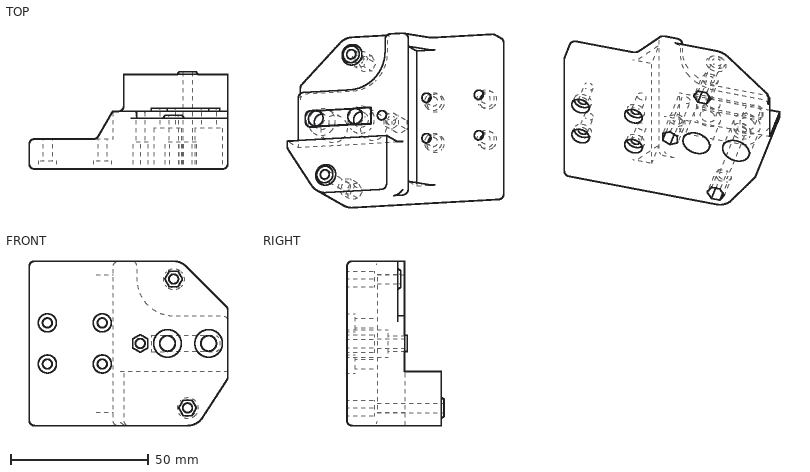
import cadquery as cq
import math

LENGTH = 72.5
DEPTH = 35.5
HEIGHT = 60.0
MID_Z = HEIGHT / 2
EDGE_RADIUS = 2.0

PLATE_BACK = 11.0
BODY_BACK = 21.1
BOSS_HEIGHT = 1.0
BLOCK_BACK = DEPTH - BOSS_HEIGHT
RECESS_FLOOR = 18.6

SLOPE_ANGLE = 60.0
SLOPE_TOP_X = 30.45
SLOPE_FOOT_X = SLOPE_TOP_X - (BODY_BACK - PLATE_BACK) / math.tan(math.radians(SLOPE_ANGLE))

CORNER_RADIUS = 6.5
TOP_SCREW = (52.7, HEIGHT - CORNER_RADIUS)
BOTTOM_SCREW = (57.8, CORNER_RADIUS)
TOP_CUT_ANGLE = 45.0
BOTTOM_CUT_ANGLE = 57.0

OPENING_HEIGHT = 50.0

BLOCK_LEFT = 34.5
BLOCK_HEIGHT = 19.9

RECESS_RADIUS = 13.4

SHAFT_X = (50.45, 65.5)
SHAFT_HOLE = 5.6
SHAFT_BORE = 10.1
SHAFT_BORE_DEPTH = 15.0
PAD_LEFT = 44.5
PAD_RIGHT = 69.45
PAD_WIDTH = 6.0
PAD_WAIST = 5.8

SCREW_HOLE = 3.4
PLATE_SCREW_X = (6.7, 26.7)
PLATE_SCREW_SPACING_Z = 15.0
SCREW_HEAD = 6.6
SCREW_HEAD_DEPTH = 3.0
NUT_FLATS = 5.6
NUT_DEPTH = 10.0
MIDDLE_SCREW = (40.5, MID_Z)
BOSS_BASE = 7.6
BOSS_TOP = 6.15


def front_plane(y):
    """Sketch plane with local x = X and local y = Z, extruding toward +Y."""
    return cq.Workplane(cq.Plane(origin=(0, y, 0), xDir=(1, 0, 0), normal=(0, -1, 0)))


def polar_point(center, radius, angle):
    """Point on a circle, with the angle in radians from +X."""
    return (center[0] + radius * math.cos(angle), center[1] + radius * math.sin(angle))


def prism(sketch, depth):
    """Extrude a front_plane sketch toward +Y."""
    return sketch.extrude(-depth)


def cylinder(center, diameter, start, end):
    """Cylinder along Y around an (X, Z) center."""
    return prism(front_plane(start).center(*center).circle(diameter / 2), end - start)


def near(x, y, z):
    """Selector for the edge nearest to a point."""
    return cq.selectors.NearestToPointSelector((x, y, z))


def outline(start, end):
    """Rounded front outline with the two cut right-hand corners."""
    top_half = math.radians(TOP_CUT_ANGLE / 2)
    bottom_half = math.radians(BOTTOM_CUT_ANGLE / 2)
    top_x = TOP_SCREW[0] + CORNER_RADIUS * math.tan(top_half)
    bottom_x = BOTTOM_SCREW[0] + CORNER_RADIUS * math.tan(bottom_half)
    right_top_z = HEIGHT - (LENGTH - top_x) * math.tan(2 * top_half)
    right_bottom_z = (LENGTH - bottom_x) * math.tan(2 * bottom_half)
    points = [
        (0, 0),
        (bottom_x, 0),
        (LENGTH, right_bottom_z),
        (LENGTH, right_top_z),
        (top_x, HEIGHT),
        (0, HEIGHT),
    ]
    solid = prism(front_plane(start).polyline(points).close(), end - start)
    solid = solid.edges("|Y").edges("<X or >X").fillet(EDGE_RADIUS)
    for corner in [(bottom_x, start, 0), (top_x, start, HEIGHT)]:
        solid = solid.edges("|Y").edges(near(*corner)).fillet(CORNER_RADIUS)
    return solid


def make_body():
    """Thin plate, slope and thick body with rounded edges."""
    side = (
        cq.Workplane("XY")
        .polyline([
            (0, 0),
            (LENGTH, 0),
            (LENGTH, BODY_BACK),
            (SLOPE_TOP_X, BODY_BACK),
            (SLOPE_FOOT_X, PLATE_BACK),
            (0, PLATE_BACK),
        ])
        .close()
        .extrude(HEIGHT)
    )
    foot = near(SLOPE_FOOT_X, PLATE_BACK, MID_Z)
    side = side.edges(foot).fillet(EDGE_RADIUS)
    body = side.intersect(outline(0, BODY_BACK))
    body = body.faces("<Y").edges().fillet(EDGE_RADIUS)
    plate_rim = near(0, PLATE_BACK, MID_Z)
    return body.edges(plate_rim).fillet(EDGE_RADIUS)


def make_block():
    """Block whose left side flares into the body, rounded along its bottom edge."""
    flare_x = BLOCK_LEFT - EDGE_RADIUS
    flare_y = BODY_BACK + EDGE_RADIUS
    flare_middle = polar_point((flare_x, flare_y), EDGE_RADIUS, math.radians(-45))
    block = (
        cq.Workplane("XY")
        .moveTo(flare_x, BODY_BACK)
        .threePointArc(flare_middle, (BLOCK_LEFT, flare_y))
        .lineTo(BLOCK_LEFT, BLOCK_BACK)
        .lineTo(LENGTH, BLOCK_BACK)
        .lineTo(LENGTH, BODY_BACK)
        .close()
        .extrude(BLOCK_HEIGHT)
    )
    block = block.intersect(outline(BODY_BACK, BLOCK_BACK))
    bottom_left = near(BLOCK_LEFT, (flare_y + BLOCK_BACK) / 2, 0)
    return block.edges(bottom_left).fillet(EDGE_RADIUS)


def make_opening():
    """Space above the thin plate that squares off the middle of the slope."""
    sketch = front_plane(PLATE_BACK).center(SLOPE_TOP_X / 2, MID_Z).rect(SLOPE_TOP_X, OPENING_HEIGHT)
    return prism(sketch, BODY_BACK - PLATE_BACK)


def make_recess():
    """Stepped-down area of the back face, curved around the top screw."""
    screw_x, screw_z = TOP_SCREW
    wall_x = screw_x - RECESS_RADIUS
    floor_z = screw_z - RECESS_RADIUS
    rim_center = (wall_x - EDGE_RADIUS, HEIGHT - EDGE_RADIUS)
    rim_middle = polar_point(rim_center, EDGE_RADIUS, math.radians(45))
    wall_middle = polar_point(TOP_SCREW, RECESS_RADIUS, math.radians(225))
    end_center = (LENGTH - EDGE_RADIUS, floor_z - EDGE_RADIUS)
    end_middle = polar_point(end_center, EDGE_RADIUS, math.radians(45))
    sketch = (
        front_plane(RECESS_FLOOR)
        .moveTo(rim_center[0], HEIGHT)
        .threePointArc(rim_middle, (wall_x, rim_center[1]))
        .lineTo(wall_x, screw_z)
        .threePointArc(wall_middle, (screw_x, floor_z))
        .lineTo(end_center[0], floor_z)
        .threePointArc(end_middle, (LENGTH, end_center[1]))
        .lineTo(LENGTH, HEIGHT)
        .close()
    )
    return prism(sketch, BODY_BACK - RECESS_FLOOR)


def make_screw_boss(center, base_y):
    """Low conical boss around a screw hole."""
    plane = cq.Plane(origin=(center[0], base_y, center[1]), xDir=(1, 0, 0), normal=(0, 1, 0))
    base = cq.Workplane(plane).circle(BOSS_BASE / 2)
    return base.workplane(offset=BOSS_HEIGHT).circle(BOSS_TOP / 2).loft(ruled=True)


def make_pad():
    """Raised pad across both shaft holes, narrower between them."""
    waist_start, waist_end = SHAFT_X

    def bar(left, right, width):
        sketch = front_plane(BODY_BACK).center((left + right) / 2, MID_Z).rect(right - left, width)
        return prism(sketch, BOSS_HEIGHT)

    right_end = bar(waist_end, PAD_RIGHT, PAD_WIDTH).edges("|Y and >X").fillet(EDGE_RADIUS)
    waist = bar(waist_start, waist_end, PAD_WAIST)
    return bar(PAD_LEFT, waist_start, PAD_WIDTH).union(waist).union(right_end)


def cut_headed_hole(part, center, diameter, head_diameter, head_depth):
    """Through hole with a round counterbore from the front."""
    part = part.cut(cylinder(center, diameter, 0, DEPTH))
    return part.cut(cylinder(center, head_diameter, 0, head_depth))


def cut_nut_hole(part, center, turn):
    """Through hole with a hexagonal nut pocket from the front, turned by an angle in degrees."""
    corner_diameter = NUT_FLATS / math.cos(math.radians(30))
    pocket = front_plane(0).center(*center).transformed(rotate=(0, 0, turn)).polygon(6, corner_diameter)
    part = part.cut(cylinder(center, SCREW_HOLE, 0, DEPTH))
    return part.cut(prism(pocket, NUT_DEPTH))


result = make_body().cut(make_opening()).cut(make_recess())
result = result.union(make_block()).union(make_pad())
result = result.union(make_screw_boss(TOP_SCREW, RECESS_FLOOR))
result = result.union(make_screw_boss(BOTTOM_SCREW, BLOCK_BACK))

for x in PLATE_SCREW_X:
    for side in (-1, 1):
        plate_screw = (x, MID_Z + side * PLATE_SCREW_SPACING_Z / 2)
        result = cut_headed_hole(result, plate_screw, SCREW_HOLE, SCREW_HEAD, SCREW_HEAD_DEPTH)

for x in SHAFT_X:
    result = cut_headed_hole(result, (x, MID_Z), SHAFT_HOLE, SHAFT_BORE, SHAFT_BORE_DEPTH)

result = cut_nut_hole(result, TOP_SCREW, 0)
result = cut_nut_hole(result, BOTTOM_SCREW, 0)
result = cut_nut_hole(result, MIDDLE_SCREW, 90)